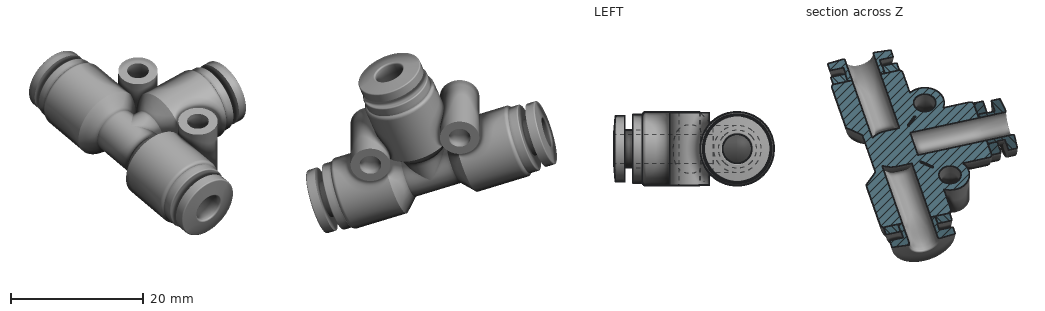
import cadquery as cq
import math

LEG_ANGLES = (0, 90, 180)

LEG_LENGTH = 18.68
FLANGE_RADIUS = 5.0
FLANGE_RIM = 18.45
FLANGE_BACK = 17.0
STEM_RADIUS = 2.88
BORE_RADIUS = 2.2
BORE_ROUND = 0.25

COLLAR_RADIUS = 5.23
COLLAR_FRONT = 15.85
EDGE_ROUND = 0.2

LEG_RADIUS = 5.6
LEG_END = 14.38
LEG_ROUND = 0.6
NECK_RADIUS = 3.6
NECK_END = 3.7
TAPER_END = NECK_END + LEG_RADIUS - NECK_RADIUS

EYELET_OFFSET = 7.2
EYELET_RADIUS = 3.0
EYELET_HOLE_RADIUS = 1.65
EYELET_HEIGHT = 10.98


def revolve_about_x(profile):
    """Turn a closed XZ outline about the X axis."""
    return profile.close().revolve(360, (0, 0, 0), (1, 0, 0))


def turn_to_leg(body, angle):
    """Turn a body made on the +X leg onto the leg at the given angle."""
    return body.rotate((0, 0, 0), (0, 0, 1), angle).solids()


def make_leg():
    """Solid +X leg: neck, taper and cylinder with a rounded end."""
    round_start = LEG_END - LEG_ROUND
    round_inset = LEG_ROUND * (1 - math.sqrt(0.5))
    profile = (
        cq.Workplane("XZ")
        .lineTo(0, NECK_RADIUS)
        .lineTo(NECK_END, NECK_RADIUS)
        .lineTo(TAPER_END, LEG_RADIUS)
        .lineTo(round_start, LEG_RADIUS)
        .threePointArc(
            (LEG_END - round_inset, LEG_RADIUS - round_inset),
            (LEG_END, LEG_RADIUS - LEG_ROUND),
        )
        .lineTo(LEG_END, 0)
    )
    return revolve_about_x(profile)


def make_leg_bore():
    """Bore of the +X leg, from the tee centre to the leg end."""
    return cq.Workplane("YZ").circle(BORE_RADIUS).extrude(LEG_END)


def make_core():
    """Domed plug that closes the bores: a sphere with a stub of equal radius towards +Y."""
    stub = cq.Workplane("XZ").circle(NECK_RADIUS).extrude(-NECK_RADIUS)
    return stub.union(cq.Workplane("XY").sphere(NECK_RADIUS))


def make_eyelets(radius):
    """One upright cylinder at each eyelet centre."""
    centres = [(-EYELET_OFFSET, EYELET_OFFSET), (EYELET_OFFSET, EYELET_OFFSET)]
    return (
        cq.Workplane("XY", origin=(0, 0, -EYELET_HEIGHT / 2))
        .pushPoints(centres)
        .circle(radius)
        .extrude(EYELET_HEIGHT)
    )


def make_housing():
    legs = make_leg()
    for angle in LEG_ANGLES[1:]:
        legs = legs.union(turn_to_leg(make_leg(), angle))
    body = legs.union(make_eyelets(EYELET_RADIUS)).cut(make_eyelets(EYELET_HOLE_RADIUS))
    core = make_core()
    for angle in LEG_ANGLES:
        body = body.cut(turn_to_leg(make_leg_bore(), angle).cut(core))
    return body.solids()


def make_collar(angle):
    """Ring on the end face of a leg, fitting closely round the button stem."""
    collar = (
        cq.Workplane("YZ", origin=(LEG_END, 0, 0))
        .circle(COLLAR_RADIUS)
        .extrude(COLLAR_FRONT - LEG_END)
        .faces(">X")
        .edges()
        .fillet(EDGE_ROUND)
        .faces(">X")
        .workplane()
        .hole(2 * STEM_RADIUS)
    )
    return turn_to_leg(collar, angle)


def make_button(angle):
    """Flange with a slightly conical front face, on a bored stem that reaches the leg end."""
    round_inset = BORE_ROUND * (1 - math.sqrt(0.5))
    profile = (
        cq.Workplane("XZ")
        .moveTo(LEG_END, BORE_RADIUS)
        .lineTo(LEG_END, STEM_RADIUS)
        .lineTo(FLANGE_BACK, STEM_RADIUS)
        .lineTo(FLANGE_BACK, FLANGE_RADIUS)
        .lineTo(FLANGE_RIM, FLANGE_RADIUS)
        .lineTo(LEG_LENGTH, BORE_RADIUS + BORE_ROUND)
        .threePointArc(
            (LEG_LENGTH - round_inset, BORE_RADIUS + round_inset),
            (LEG_LENGTH - BORE_ROUND, BORE_RADIUS),
        )
    )
    button = revolve_about_x(profile)
    button = button.edges(cq.selectors.RadiusNthSelector(-1)).edges(">X").fillet(EDGE_ROUND)
    return turn_to_leg(button, angle)


housing = make_housing()
collars = [make_collar(angle) for angle in LEG_ANGLES]
buttons = [make_button(angle) for angle in LEG_ANGLES]

result = cq.Compound.makeCompound(
    [
        housing.val(),
        *[collar.val() for collar in collars],
        *[button.val() for button in buttons],
    ]
)